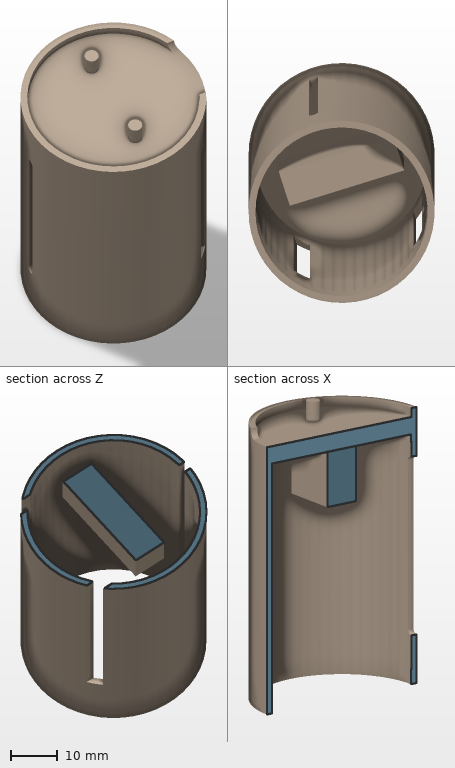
import cadquery as cq

total_height = 64.5
housing_height = 62.05
outer_diameter = 40.0
wall = 1.5
inner_radius = outer_diameter / 2 - wall
rim_depth = 2.0
disc_thickness = 4.0
disc_top = housing_height - rim_depth
disc_bottom = disc_top - disc_thickness

notch_floor_width = 11.35
notch_corner_radius = rim_depth
notch_width = notch_floor_width + 2 * notch_corner_radius

front_slot_width = 2.0
front_slot_length = 40.0

window_inner_x = 11.7
window_outer_x = 14.45
window_bottom = 12.65
window_height = 37.85

pin_diameter = 3.0
pin_spacing = 20.8
block_width = 25.8
block_depth = 7.75
block_bottom = 43.65
pin_positions = [(-pin_spacing / 2, 0), (pin_spacing / 2, 0)]


def make_pins():
    """Two upright pins from the underside of the disc to the overall top."""
    return (
        cq.Workplane("XY", origin=(0, 0, disc_bottom))
        .pushPoints(pin_positions)
        .circle(pin_diameter / 2)
        .extrude(total_height - disc_bottom)
    )


def make_shell():
    """Tube open at the bottom, with a shallow recess above the disc."""
    tube = cq.Workplane("XY").circle(outer_diameter / 2).extrude(housing_height)
    cavity = cq.Workplane("XY").circle(inner_radius).extrude(disc_bottom)
    recess = cq.Workplane("XY", origin=(0, 0, disc_top)).circle(inner_radius).extrude(rim_depth)
    return tube.cut(cavity).cut(recess)


def make_notch():
    """Cutter that opens the +Y side of the rim down to the disc."""
    return (
        cq.Workplane("XY", origin=(0, outer_diameter / 4, disc_top))
        .box(notch_width, outer_diameter / 2, 2 * rim_depth, centered=(True, True, False))
        .edges("|Y and <Z")
        .fillet(notch_corner_radius)
    )


def make_front_slot():
    """Cutter for the vertical round-ended slot through the -Y wall."""
    return (
        cq.Workplane("XZ", origin=(0, 0, housing_height / 2))
        .slot2D(front_slot_length, front_slot_width, 90)
        .extrude(outer_diameter)
    )


def make_window(side):
    """Cutter parallel to Y for the window on the given X side (-1 or 1)."""
    center_x = side * (window_inner_x + window_outer_x) / 2
    return cq.Workplane("XY", origin=(center_x, 0, window_bottom)).box(
        window_outer_x - window_inner_x, outer_diameter, window_height, centered=(True, False, False)
    )


def make_housing():
    body = make_shell().cut(make_notch()).cut(make_front_slot())
    for side in (-1, 1):
        body = body.cut(make_window(side))
    return body.cut(make_pins())


def make_plug():
    block = cq.Workplane("XY", origin=(0, 0, block_bottom)).box(
        block_width, block_depth, disc_bottom - block_bottom, centered=(True, True, False)
    )
    return block.union(make_pins())


housing = make_housing()
plug = make_plug()
result = cq.Compound.makeCompound([housing.val(), plug.val()])